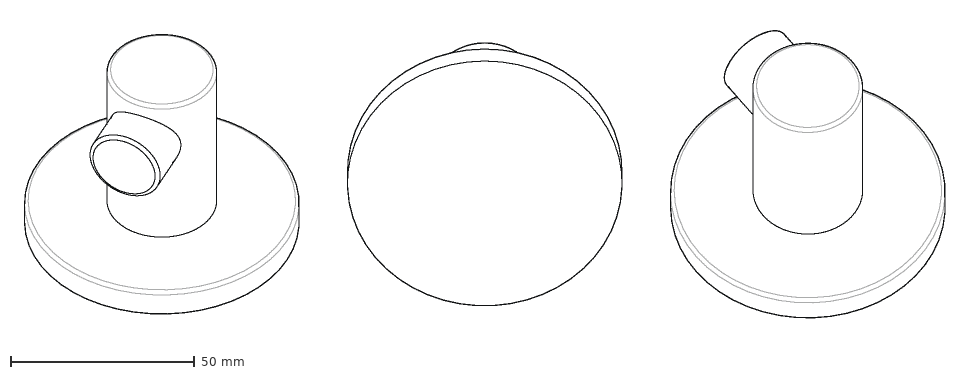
import cadquery as cq
import math

flange_diameter = 75.0
flange_thickness = 8.0

column_diameter = 30.0
total_height = 56.0

stub_diameter = 21.0
stub_axis_height = 41.0
stub_reach = 25.2

edge_radius = 1.0
stub_chamfer_depth = 0.7
stub_chamfer_angle = 60.0
stub_chamfer_width = stub_chamfer_depth * math.tan(math.radians(stub_chamfer_angle))


def make_flange():
    flange = cq.Workplane("XY").circle(flange_diameter / 2).extrude(flange_thickness)
    return flange.faces(">Z").edges().fillet(edge_radius)


def make_column():
    column = cq.Workplane("XY").circle(column_diameter / 2).extrude(total_height)
    return column.faces(">Z").edges().fillet(edge_radius)


def make_stub():
    stub_radius = stub_diameter / 2
    profile = (
        cq.Workplane("XY")
        .lineTo(stub_radius, 0)
        .lineTo(stub_radius, -(stub_reach - stub_chamfer_depth))
        .lineTo(stub_radius - stub_chamfer_width, -stub_reach)
        .lineTo(0, -stub_reach)
        .close()
    )
    stub = profile.revolve(360, (0, 0, 0), (0, 1, 0))
    return stub.translate((0, 0, stub_axis_height))


result = make_flange().union(make_column()).union(make_stub())